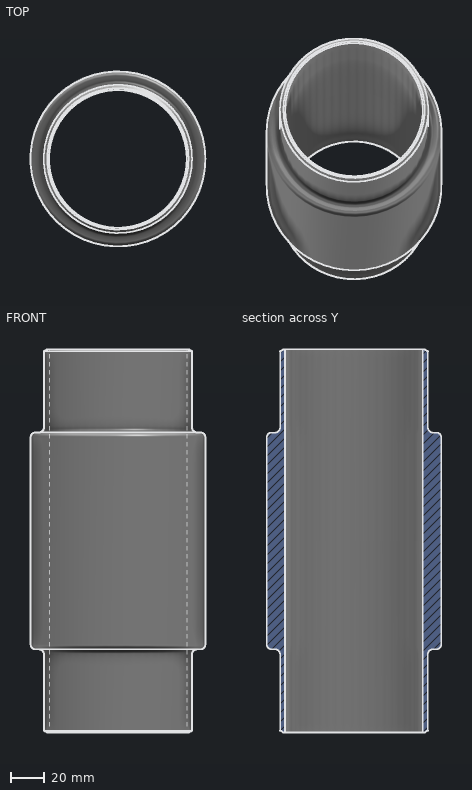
import cadquery as cq

total_length = 230.0
pipe_diameter = 89.0
bore_diameter = 82.5
body_diameter = 105.0
spigot_length = 50.0
shoulder_fillet = 3.0
root_fillet = 3.0
end_chamfer_width = 2.0
end_chamfer_height = 1.2

pipe_radius = pipe_diameter / 2
body_length = total_length - 2 * spigot_length
root_radius = pipe_radius + root_fillet


def make_pipe():
    """Solid pipe along Z, centred on the origin, with a bevel around each end."""
    half_length = total_length / 2
    bevel_start = half_length - end_chamfer_height
    end_radius = pipe_radius - end_chamfer_width
    return (
        cq.Workplane("XZ")
        .moveTo(0, -half_length)
        .lineTo(end_radius, -half_length)
        .lineTo(pipe_radius, -bevel_start)
        .lineTo(pipe_radius, bevel_start)
        .lineTo(end_radius, half_length)
        .lineTo(0, half_length)
        .close()
        .revolve(360, (0, 0, 0), (0, 1, 0))
    )


def make_body():
    """Wider middle cylinder with rounded outer edges."""
    return (
        cq.Workplane("XY")
        .circle(body_diameter / 2)
        .extrude(body_length / 2, both=True)
        .edges("%CIRCLE")
        .fillet(shoulder_fillet)
    )


def make_root_fillet(side):
    """Concave ring between pipe and body; side is +1 at the top, -1 at the bottom."""
    shoulder_z = side * body_length / 2
    fillet_end_z = shoulder_z + side * root_fillet
    arc_inset = root_fillet * (1 - 0.5 ** 0.5)
    return (
        cq.Workplane("XZ")
        .moveTo(0, shoulder_z)
        .lineTo(root_radius, shoulder_z)
        .threePointArc(
            (pipe_radius + arc_inset, shoulder_z + side * arc_inset),
            (pipe_radius, fillet_end_z),
        )
        .lineTo(0, fillet_end_z)
        .close()
        .revolve(360, (0, 0, 0), (0, 1, 0))
    )


outer = make_pipe().union(make_body())
for end in (1, -1):
    outer = outer.union(make_root_fillet(end))

bore = cq.Workplane("XY").circle(bore_diameter / 2).extrude(total_length / 2, both=True)

result = outer.cut(bore)